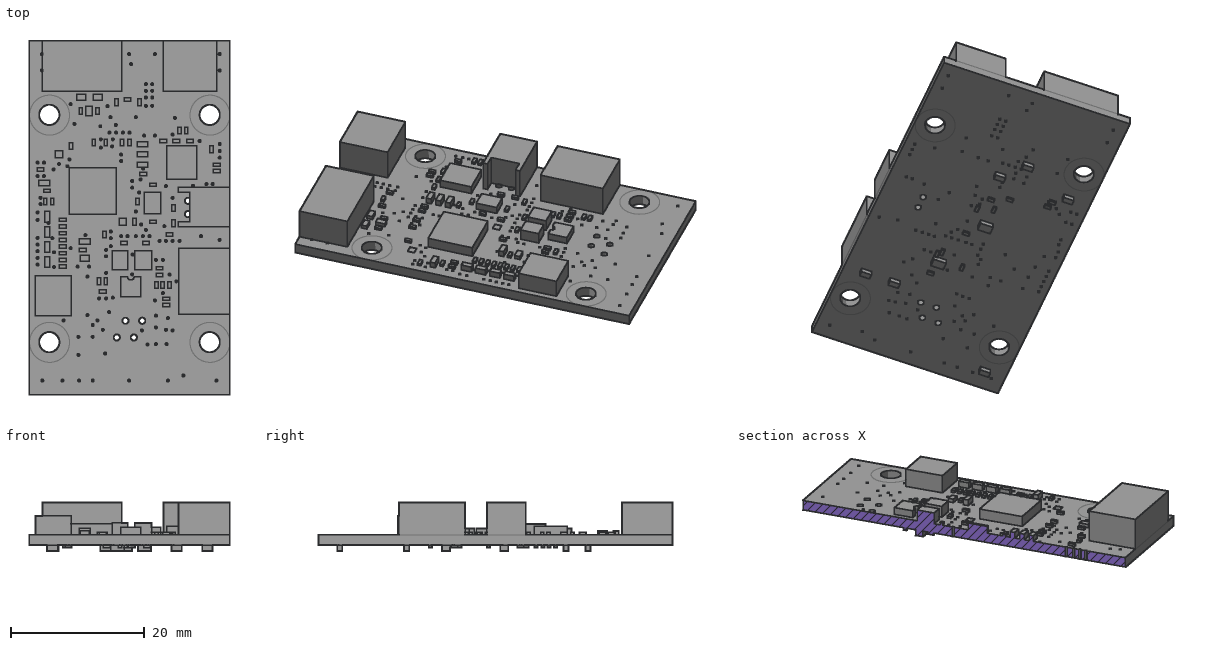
import cadquery as cq

BOARD_LENGTH_X = 30.0
BOARD_LENGTH_Y = 53.0
BOARD_THICKNESS = 1.6

MOUNT_INSET = 3.0
MOUNT_HOLE_DIAMETER = 3.0
MOUNT_PAD_DIAMETER = 5.98
MOUNT_LOWER_Y = 7.9
MOUNT_PITCH_Y = 34.0

VIA_DIAMETER = 0.3
PIN_HOLE_DIAMETER = 0.9

ROW_PITCH = 1.0
RESISTOR_PITCH = 2.25

CONNECTOR_HEIGHT = 4.8

CHIP_0402 = (1.0, 0.5, 0.35)
CHIP_0603 = (1.6, 0.8, 0.9)
CHIP_0805 = (2.0, 1.25, 0.9)
LED = (1.35, 0.85, 0.55)
CRYSTAL = (1.45, 0.95, 0.55)
FLAT_PAD = (1.1, 1.05, 0.05)

HEADER_HOLES = [(14.4, 11.1), (16.9, 11.1), (13.1, 8.6), (15.65, 8.6)]
PEG_HOLES = [(23.75, 29.05), (23.75, 27.05)]

VIA_ARRAY = [(x, y) for x in (17.45, 18.4) for y in (43.25, 44.5, 45.5, 46.5)]
VIA_ROW = [(12.0 + ROW_PITCH * i, 39.25) for i in range(4)]
VIA_EDGE_COLUMN = [(1.25, 19.5 + ROW_PITCH * i) for i in range(5)]
VIA_BOTTOM_ROW = [(x, 2.15) for x in (1.95, 4.95, 7.45, 9.5, 14.95, 20.75, 28.0)]
VIA_CENTRE_ROW = [(x, 23.75) for x in (13.75, 14.7, 15.95, 17.0, 18.0, 25.7)]
VIAS = VIA_ARRAY + VIA_ROW + VIA_EDGE_COLUMN + VIA_BOTTOM_ROW + VIA_CENTRE_ROW + [
    (1.9, 51.0), (14.95, 51.0), (18.8, 51.0), (28.5, 51.0), (15.25, 49.5), (1.9, 48.55), (28.5, 48.55),
    (6.2, 43.5), (11.7, 43.2), (12.15, 41.55), (15.95, 41.55), (21.8, 41.45), (6.75, 40.55),
    (10.65, 40.2), (12.95, 40.4), (17.2, 38.8), (18.8, 38.8), (21.45, 38.95),
    (10.7, 38.25), (12.5, 38.25), (10.7, 37.0), (12.4, 37.2), (25.5, 38.0), (28.5, 37.55),
    (28.5, 36.5), (28.5, 35.5), (13.75, 35.95), (13.75, 35.0), (6.0, 35.25), (4.45, 34.55),
    (5.7, 34.25), (3.65, 33.75), (1.25, 34.75), (2.2, 34.75), (1.25, 32.75), (2.2, 32.75),
    (17.05, 33.85), (16.65, 32.25), (15.4, 32.0), (15.4, 31.0), (16.45, 30.3), (20.45, 31.25),
    (24.5, 31.3), (26.5, 31.55), (27.45, 31.55), (21.45, 29.5), (1.7, 29.5), (1.7, 28.55),
    (1.25, 27.3), (1.25, 26.2), (2.9, 25.75), (15.95, 27.45), (16.75, 25.5), (20.2, 25.25),
    (17.45, 24.7),
    (12.2, 24.45), (12.2, 23.45), (12.2, 22.25), (8.4, 23.9), (3.45, 23.45), (28.5, 23.2),
    (19.5, 23.05), (20.45, 23.05), (21.45, 23.05), (22.5, 23.05), (6.2, 21.95), (11.5, 21.7),
    (3.7, 21.35), (11.5, 20.75), (15.45, 21.0), (18.95, 20.2), (20.0, 20.2), (3.7, 19.15),
    (7.25, 19.2), (8.95, 19.2), (11.5, 18.25), (15.4, 18.05), (21.0, 18.0), (8.7, 17.7), (22.0, 17.0),
    (20.0, 15.25), (10.45, 14.45), (11.5, 14.45), (12.5, 14.55), (18.8, 14.15), (11.95, 12.4),
    (8.7, 11.95), (18.95, 11.85), (20.75, 11.5), (5.15, 11.15), (10.2, 11.15), (9.5, 10.45),
    (18.95, 10.1), (11.0, 9.75), (20.45, 9.75), (16.85, 9.65), (21.45, 9.65), (7.35, 8.7),
    (9.5, 8.7), (18.95, 7.6), (20.55, 7.6), (17.7, 7.55), (11.35, 6.2), (7.35, 6.0), (23.05, 2.9),
]

RESISTOR_BANK = [(5.0, 19.2 + ROW_PITCH * i) for i in range(8)]
TOP_0402_LYING = RESISTOR_BANK + [
    (14.7, 44.2), (20.05, 38.0), (22.0, 38.0), (24.05, 38.0), (28.05, 34.45), (28.05, 33.5),
    (1.7, 33.75), (2.65, 30.55), (17.05, 33.05), (18.5, 31.45), (18.5, 25.9), (21.0, 24.0),
    (14.2, 22.75), (17.45, 22.75), (8.0, 21.7), (11.0, 15.5), (19.5, 18.95), (19.5, 17.95),
    (20.5, 14.4), (20.5, 13.45),
]
TOP_0402_STANDING = [
    (13.05, 43.8), (16.5, 43.8), (7.7, 42.5), (10.2, 42.5), (22.5, 39.55), (23.5, 39.55),
    (9.65, 37.75), (11.45, 37.75), (13.9, 37.75), (15.0, 37.75), (6.25, 37.25), (27.25, 36.75),
    (2.4, 28.95), (3.45, 28.95), (16.2, 28.95), (21.6, 27.95), (15.75, 25.9), (21.6, 25.7),
    (11.25, 24.0), (10.45, 17.0), (11.45, 17.0), (19.05, 16.45), (19.95, 16.45), (21.0, 16.45),
]
TOP_0603_LYING = [(16.95, 37.5), (16.95, 36.0), (16.95, 34.45), (2.25, 31.7), (8.3, 22.95)]
TOP_0603_STANDING = [(2.7, 19.9 + RESISTOR_PITCH * i) for i in range(4)]
TOP_LEDS = [(7.75, 44.55), (10.25, 44.55), (8.3, 20.45)]
TOP_CRYSTALS_STANDING = [(8.95, 42.5)]
TOP_FLAT_PADS = [(4.45, 36.0), (14.0, 25.9)]

TOP_BODIES = {
    "wide connector": (1.95, 13.85, 45.4, BOARD_LENGTH_Y, CONNECTOR_HEIGHT),
    "narrow connector": (20.05, 28.05, 45.4, BOARD_LENGTH_Y, CONNECTOR_HEIGHT),
    "side connector": (22.35, BOARD_LENGTH_X, 12.05, 21.95, CONNECTOR_HEIGHT),
    "main chip": (6.0, 13.0, 27.0, 34.0, 1.6),
    "driver chip": (20.55, 25.05, 32.3, 37.25, 1.25),
    "regulator": (17.2, 19.7, 27.1, 30.35, 1.1),
    "left inductor": (12.4, 14.75, 18.75, 21.6, 1.75),
    "right inductor": (15.75, 18.3, 18.75, 21.6, 1.75),
    "corner block": (0.9, 6.25, 11.85, 17.85, 2.8),
}

SOCKET_BACK_X = 22.3
SOCKET_BODY_X = 24.0
SOCKET_Y_MIN = 25.2
SOCKET_Y_MAX = 31.05
SOCKET_FLANGE = 0.7

NOTCHED_CHIP_X = 15.2
NOTCHED_CHIP_Y = 16.2
NOTCHED_CHIP_SIZE = 3.0
NOTCHED_CHIP_HEIGHT = 1.1
NOTCH_RADIUS = 0.5

UNDER_0402_LYING = [(5.5, 35.5), (5.85, 34.5), (11.6, 33.6), (14.2, 32.55), (15.35, 25.45), (17.6, 16.75)]
UNDER_0402_STANDING = [(13.1, 31.0), (15.5, 30.25), (17.4, 20.95), (18.0, 20.35), (13.6, 19.45)]
UNDER_0603_LYING = [(3.45, 3.2), (3.6, 37.05), (11.4, 40.35), (14.6, 37.05), (22.05, 13.2), (26.65, 13.2)]
UNDER_0805_LYING = [(13.2, 27.8), (17.25, 19.1)]


def pins(points, diameter):
    """Cylinders through the full board thickness."""
    return cq.Workplane("XY").pushPoints(points).circle(diameter / 2).extrude(BOARD_THICKNESS)


def chips(points, package, standing=False, underside=False):
    """Identical boxes resting on the top side, or hanging from the underside."""
    length, width, height = package
    base_z = 0.0 if underside else BOARD_THICKNESS
    outline = (width, length) if standing else (length, width)
    plane = cq.Workplane("XY").workplane(offset=base_z).pushPoints(points)
    return plane.rect(*outline).extrude(-height if underside else height)


def body(x_min, x_max, y_min, y_max, height):
    """One rectangular body on the top side."""
    centre = ((x_min + x_max) / 2, (y_min + y_max) / 2)
    return chips([centre], (x_max - x_min, y_max - y_min, height))


def make_board():
    """Drilled plate; the mounting pads stay flush as separate round faces."""
    plate = cq.Workplane("XY").box(BOARD_LENGTH_X, BOARD_LENGTH_Y, BOARD_THICKNESS, centered=False)
    mounts = [
        (x, y)
        for x in (MOUNT_INSET, BOARD_LENGTH_X - MOUNT_INSET)
        for y in (MOUNT_LOWER_Y, MOUNT_LOWER_Y + MOUNT_PITCH_Y)
    ]
    plate = plate.union(pins(mounts, MOUNT_PAD_DIAMETER), clean=False)
    drills = [
        (mounts, MOUNT_HOLE_DIAMETER),
        (HEADER_HOLES + PEG_HOLES, PIN_HOLE_DIAMETER),
        (VIAS, VIA_DIAMETER),
    ]
    for points, diameter in drills:
        plate = plate.cut(pins(points, diameter), clean=False)
    return plate


def make_socket():
    """Socket body with the gap between its two flanges cut away."""
    block = body(SOCKET_BACK_X, BOARD_LENGTH_X, SOCKET_Y_MIN, SOCKET_Y_MAX, CONNECTOR_HEIGHT)
    gap = body(
        SOCKET_BACK_X,
        SOCKET_BODY_X,
        SOCKET_Y_MIN + SOCKET_FLANGE,
        SOCKET_Y_MAX - SOCKET_FLANGE,
        CONNECTOR_HEIGHT,
    )
    return block.cut(gap)


def make_notched_chip():
    """Square chip with the half-round marker notch."""
    size = NOTCHED_CHIP_SIZE
    block = chips([(NOTCHED_CHIP_X, NOTCHED_CHIP_Y)], (size, size, NOTCHED_CHIP_HEIGHT))
    notch = (
        cq.Workplane("XY")
        .workplane(offset=BOARD_THICKNESS)
        .center(NOTCHED_CHIP_X, NOTCHED_CHIP_Y + size / 2)
        .circle(NOTCH_RADIUS)
        .extrude(NOTCHED_CHIP_HEIGHT)
    )
    return block.cut(notch)


def make_top_parts():
    small_parts = [
        chips(TOP_0402_LYING, CHIP_0402),
        chips(TOP_0402_STANDING, CHIP_0402, standing=True),
        chips(TOP_0603_LYING, CHIP_0603),
        chips(TOP_0603_STANDING, CHIP_0603, standing=True),
        chips(TOP_LEDS, LED),
        chips(TOP_CRYSTALS_STANDING, CRYSTAL, standing=True),
        chips(TOP_FLAT_PADS, FLAT_PAD),
    ]
    large_parts = [body(*extents) for extents in TOP_BODIES.values()]
    return small_parts + large_parts + [make_socket(), make_notched_chip()]


def make_underside_parts():
    return [
        chips(UNDER_0402_LYING, CHIP_0402, underside=True),
        chips(UNDER_0402_STANDING, CHIP_0402, standing=True, underside=True),
        chips(UNDER_0603_LYING, CHIP_0603, underside=True),
        chips(UNDER_0805_LYING, CHIP_0805, underside=True),
    ]


result = make_board()
for part in make_top_parts() + make_underside_parts():
    result = result.union(part, clean=False)